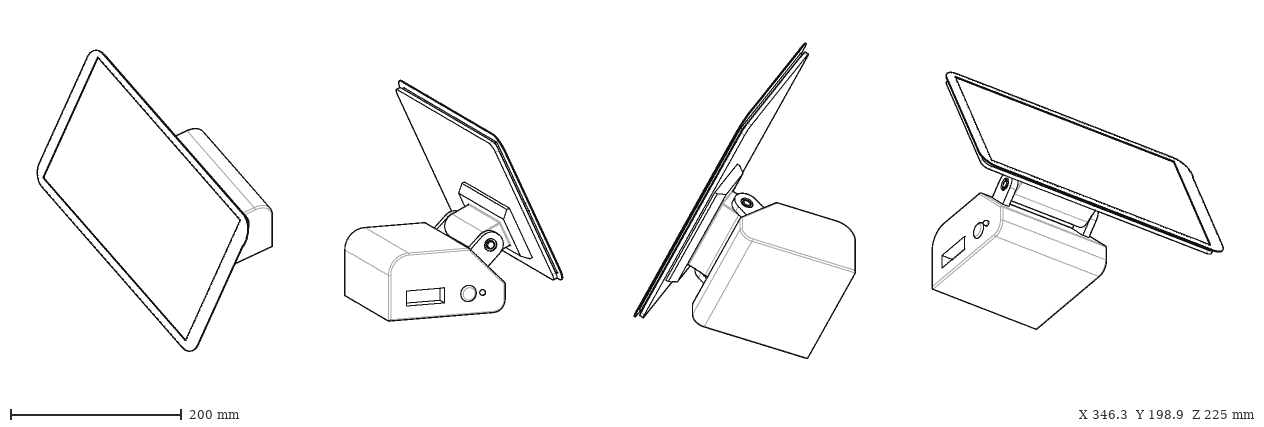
import cadquery as cq
import math


HOUSING_LEFT = 61.5
HOUSING_WIDTH = 150.0
HOUSING_DEPTH = 146.0
HOUSING_HEIGHT = 80.0
SLOPE_RUN = 45.5
SLOPE_EDGE_RADIUS = 2.8
REAR_TOP_RADIUS = 25.0
FRONT_BOTTOM_RADIUS = 15.0
SIDE_EDGE_RADIUS = 2.0
HOUSING_MIDDLE = HOUSING_LEFT + HOUSING_WIDTH / 2
SLOPE_TOP = (SLOPE_RUN - HOUSING_DEPTH, HOUSING_HEIGHT)
SLOPE_BOTTOM = (-HOUSING_DEPTH, HOUSING_HEIGHT - SLOPE_RUN)

SLOT_LENGTH = 47.5
SLOT_HEIGHT = 18.0
SLOT_DEPTH = 15.0
SLOT_CENTRE = (-45.7, 26.0)
CONTROL_HEIGHT = 26.0
BUTTON_Y = -99.5
BUTTON_DIAMETER = 19.5
BUTTON_PROJECTION = 2.5
BUTTON_FACE_DIAMETER = 15.0
LAMP_Y = -116.7
LAMP_DIAMETER = 6.5
LAMP_PROJECTION = 5.2

HINGE_Y = -132.5
HINGE_Z = 78.5
HINGE_RADIUS = 15.5
LUG_THICKNESS = 8.5
LUG_SPAN = 122.3
PIN_DIAMETER = 10.0
PIN_CHAMFER = 1.0
COUNTERBORE_DIAMETER = 15.0
COUNTERBORE_DEPTH = 2.0
ARM_WIDTH = LUG_SPAN - 2 * LUG_THICKNESS
ARM_EDGE_RADIUS = 1.0

TILT = 25
BEZEL_THICKNESS = 1.5
DISPLAY_THICKNESS = 2.0
AIR_GAP = 1.7
BACK_PLATE_THICKNESS = 5.0
BRACKET_THICKNESS = 12.0
HINGE_TO_BEZEL_FRONT = 45.7
BEZEL_REAR = HINGE_TO_BEZEL_FRONT - BEZEL_THICKNESS
DISPLAY_REAR = BEZEL_REAR - DISPLAY_THICKNESS
BACK_PLATE_REAR = DISPLAY_REAR - AIR_GAP - BACK_PLATE_THICKNESS
BRACKET_REAR = BACK_PLATE_REAR - BRACKET_THICKNESS

BEZEL_WIDTH = 345.3
BEZEL_HEIGHT = 199.5
BEZEL_BOTTOM = -59.2
BEZEL_CORNER_RADIUS = 20.0
DISPLAY_WIDTH = 310.3
DISPLAY_HEIGHT = 180.0
DISPLAY_BOTTOM = -49.0
BACK_PLATE_WIDTH = 327.3
BACK_PLATE_HEIGHT = 188.0
BACK_PLATE_BOTTOM = -54.0
BACK_PLATE_CORNER_RADIUS = 10.0
SCREEN_MIDDLE = 170.0
TAB_LENGTH = 11.5
TAB_PROJECTION = 1.0
TAB_BELOW_TOP = 19.5
BRACKET_HEIGHT = 68.0
BRACKET_WIDTH = HOUSING_WIDTH
BRACKET_CHAMFER = 8.5


def side_plane(x):
    """Plane facing +X, with local axes along Y and Z."""
    return cq.Workplane("YZ", origin=(x, 0, 0))


def screen_plane(distance):
    """Plane parallel to the screen, at a distance in front of the hinge axis."""
    lean = math.radians(TILT)
    normal = cq.Vector(0, -math.cos(lean), math.sin(lean))
    origin = cq.Vector(0, HINGE_Y, HINGE_Z) + normal * distance
    return cq.Workplane(cq.Plane(origin=origin, xDir=(1, 0, 0), normal=normal))


def panel(rear, middle, bottom, width, height, thickness):
    """Rectangular plate in the screen stack."""
    return (
        screen_plane(rear)
        .center(middle, bottom + height / 2)
        .rect(width, height)
        .extrude(thickness)
    )


def round_corners(plate, radius):
    """Round the four corners of a plate in the screen stack."""
    across = cq.selectors.ParallelDirSelector(screen_plane(0).plane.zDir)
    return plate.edges(across).fillet(radius)


def hinge_cylinder(diameter, start, length):
    """Cylinder on the hinge axis."""
    return side_plane(start).center(HINGE_Y, HINGE_Z).circle(diameter / 2).extrude(length)


def make_block():
    """Solid housing block with its slope and rounded edges."""
    block = (
        side_plane(HOUSING_LEFT)
        .polyline([
            (0, 0),
            (0, HOUSING_HEIGHT),
            SLOPE_TOP,
            SLOPE_BOTTOM,
            (-HOUSING_DEPTH, 0),
        ])
        .close()
        .extrude(HOUSING_WIDTH)
    )
    block = block.edges("|X and >Y and >Z").fillet(REAR_TOP_RADIUS)
    block = block.edges("|X and <Y and <Z").fillet(FRONT_BOTTOM_RADIUS)
    slope_ends = block.edges("|X").edges(
        cq.selectors.NearestToPointSelector((HOUSING_MIDDLE, *SLOPE_TOP))
        + cq.selectors.NearestToPointSelector((HOUSING_MIDDLE, *SLOPE_BOTTOM))
    )
    block = slope_ends.fillet(SLOPE_EDGE_RADIUS)
    return block.faces("<X or >X").edges().fillet(SIDE_EDGE_RADIUS)


def make_slot():
    """Blind rectangular pocket in the left side."""
    return (
        side_plane(HOUSING_LEFT)
        .center(*SLOT_CENTRE)
        .rect(SLOT_LENGTH, SLOT_HEIGHT)
        .extrude(SLOT_DEPTH)
    )


def make_button():
    """Round push button with a rounded rim."""
    rim_radius = (BUTTON_DIAMETER - BUTTON_FACE_DIAMETER) / 2
    return (
        side_plane(HOUSING_LEFT)
        .center(BUTTON_Y, CONTROL_HEIGHT)
        .circle(BUTTON_DIAMETER / 2)
        .extrude(-BUTTON_PROJECTION)
        .faces("<X")
        .edges()
        .fillet(rim_radius)
    )


def make_lamp():
    """Short cylinder with a domed end."""
    radius = LAMP_DIAMETER / 2
    stem_length = LAMP_PROJECTION - radius
    stem = (
        side_plane(HOUSING_LEFT)
        .center(LAMP_Y, CONTROL_HEIGHT)
        .circle(radius)
        .extrude(-stem_length)
    )
    dome = cq.Workplane("XY").sphere(radius)
    return stem.union(dome.translate((HOUSING_LEFT - stem_length, LAMP_Y, CONTROL_HEIGHT)))


def make_lug(start, outer_face):
    """Round-ended hinge lug standing square on the slope, counterbored on its outer face."""
    slope_top_y, slope_top_z = SLOPE_TOP
    height_above_slope = (slope_top_y - HINGE_Y + HINGE_Z - slope_top_z) / math.sqrt(2)
    leg = (
        side_plane(start)
        .center(HINGE_Y, HINGE_Z)
        .transformed(rotate=(0, 0, 45))
        .center(0, -height_above_slope / 2)
        .rect(2 * HINGE_RADIUS, height_above_slope)
        .extrude(LUG_THICKNESS)
    )
    lug = leg.union(hinge_cylinder(2 * HINGE_RADIUS, start, LUG_THICKNESS))
    lug = lug.cut(hinge_cylinder(PIN_DIAMETER, start, LUG_THICKNESS))
    inward = math.copysign(COUNTERBORE_DEPTH, HOUSING_MIDDLE - outer_face)
    return lug.cut(hinge_cylinder(COUNTERBORE_DIAMETER, outer_face, inward))


def make_housing():
    left_face = HOUSING_MIDDLE - LUG_SPAN / 2
    right_face = HOUSING_MIDDLE + LUG_SPAN / 2
    body = make_block().cut(make_slot()).union(make_button()).union(make_lamp())
    body = body.union(make_lug(left_face, left_face))
    return body.union(make_lug(right_face - LUG_THICKNESS, right_face))


def make_hinge_pin():
    """Pin through both lugs and the arm, ending level with the lug faces."""
    pin = hinge_cylinder(PIN_DIAMETER, HOUSING_MIDDLE - LUG_SPAN / 2, LUG_SPAN)
    return pin.faces("<X or >X").chamfer(PIN_CHAMFER)


def make_bracket():
    """Chamfered mounting plate with the hinge arm on its rear face."""
    plate = panel(
        BRACKET_REAR, HOUSING_MIDDLE, -BRACKET_HEIGHT / 2,
        BRACKET_WIDTH, BRACKET_HEIGHT, BRACKET_THICKNESS,
    )
    rear_face = cq.selectors.DirectionMinMaxSelector(screen_plane(0).plane.zDir, False)
    plate = plate.faces(rear_face).edges("|X").chamfer(BRACKET_CHAMFER)
    arm_length = BRACKET_REAR + ARM_EDGE_RADIUS
    arm = panel(0, HOUSING_MIDDLE, -HINGE_RADIUS, ARM_WIDTH, 2 * HINGE_RADIUS, arm_length)
    arm_start = HOUSING_MIDDLE - ARM_WIDTH / 2
    arm = arm.union(hinge_cylinder(2 * HINGE_RADIUS, arm_start, ARM_WIDTH))
    arm = arm.faces("<X or >X").edges().fillet(ARM_EDGE_RADIUS)
    joined = plate.union(arm)
    arm_outlines = [wire for face in joined.faces("%PLANE").vals() for wire in face.innerWires()]
    joined = joined.newObject(arm_outlines[0].Edges()).fillet(ARM_EDGE_RADIUS)
    return joined.cut(hinge_cylinder(PIN_DIAMETER, arm_start, ARM_WIDTH))


def make_back_plate():
    plate = panel(
        BACK_PLATE_REAR, SCREEN_MIDDLE, BACK_PLATE_BOTTOM,
        BACK_PLATE_WIDTH, BACK_PLATE_HEIGHT, BACK_PLATE_THICKNESS,
    )
    return round_corners(plate, BACK_PLATE_CORNER_RADIUS)


def make_display():
    return panel(
        DISPLAY_REAR, SCREEN_MIDDLE, DISPLAY_BOTTOM,
        DISPLAY_WIDTH, DISPLAY_HEIGHT, DISPLAY_THICKNESS,
    )


def make_bezel():
    """Thin frame with a window over the display and a small tab on its right edge."""
    frame = panel(
        BEZEL_REAR, BEZEL_WIDTH / 2, BEZEL_BOTTOM, BEZEL_WIDTH, BEZEL_HEIGHT, BEZEL_THICKNESS
    )
    frame = round_corners(frame, BEZEL_CORNER_RADIUS)
    window = panel(
        BEZEL_REAR, SCREEN_MIDDLE, DISPLAY_BOTTOM,
        DISPLAY_WIDTH, DISPLAY_HEIGHT, BEZEL_THICKNESS,
    )
    tab_bottom = BEZEL_BOTTOM + BEZEL_HEIGHT - TAB_BELOW_TOP - TAB_LENGTH
    tab = panel(BEZEL_REAR, BEZEL_WIDTH, tab_bottom, 2 * TAB_PROJECTION, TAB_LENGTH, BEZEL_THICKNESS)
    return frame.cut(window).union(tab)


housing = make_housing()
hinge_pin = make_hinge_pin()
bracket = make_bracket()
back_plate = make_back_plate()
display = make_display()
bezel = make_bezel()

result = cq.Compound.makeCompound([
    housing.val(),
    hinge_pin.val(),
    bracket.val(),
    back_plate.val(),
    display.val(),
    bezel.val(),
])